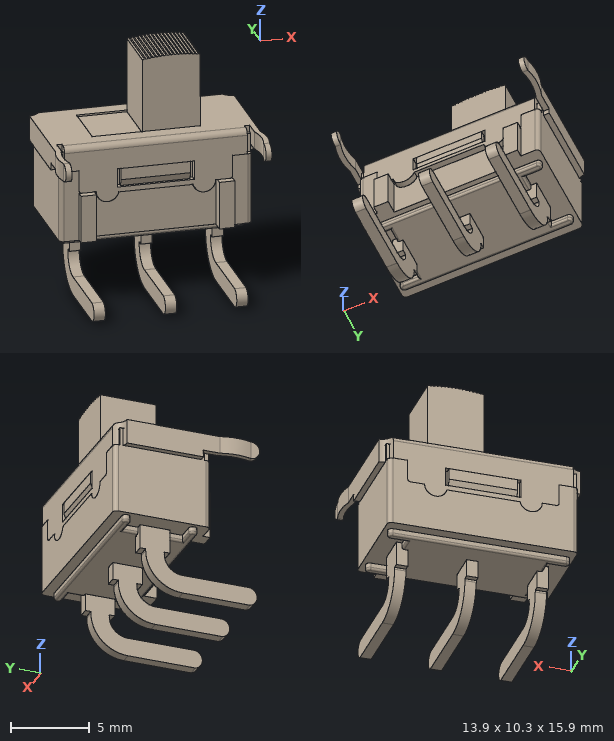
import cadquery as cq
import math


HOUSING_LENGTH = 12.7
HOUSING_WIDTH = 6.6
HOUSING_CORNER_RADIUS = 0.3
SHOULDER_Z = 4.75
RIB_OUTER_X = 5.06
RIB_INNER_X = 4.05
RIB_DEPTH = 0.5
RIB_TOP_Z = 3.2

SHEET = 0.4
ROOF_THICKNESS = 0.45
COVER_TOP_Z = 6.43
COVER_UNDER_Z = COVER_TOP_Z - ROOF_THICKNESS
COVER_LENGTH = HOUSING_LENGTH + 2 * SHEET
FLANGE_END_X = 6.02
NOTCH_DEPTH = 0.65
TAB_CORNER_RADIUS = 0.2
TAB_MIDDLE_Z = 3.04
LOBE_X = 3.18
LOBE_RADIUS = 0.75
WINDOW_LENGTH = 7.12
WINDOW_RIGHT_X = 3.3
WINDOW_LEFT_X = WINDOW_RIGHT_X - WINDOW_LENGTH

LATCH_SLOT_LENGTH = 5.05
LATCH_SLOT_BOTTOM_Z = 3.38
LATCH_SLOT_TOP_Z = 4.63
LATCH_LENGTH = 4.58
LATCH_RAMP_TOP_Z = 3.86
LATCH_RAMP_DEPTH = 0.2

ARM_HEIGHT = 1.2
ARM_TIP_Y = -6.5
ARM_BOW_START_Y = -3.77
ARM_BOW_PEAK_Y = -4.9
ARM_BOW = 0.185
ARM_END_OFFSET = 0.04

KNOB_SIZE = 3.8
KNOB_TOP_Z = 11.53
KNOB_CROWN = 0.16
RIDGE_COUNT = 16
RIDGE_HEIGHT = 0.05
KNOB_FOOT_RECESS = 0.12

BOARD_HEIGHT = 0.46
BOARD_HALF_WIDTH = 2.56
RAIL_LENGTH = 12.14
RAIL_WIDTH = 0.54
BOARD_EDGE_RADIUS = 0.15
PIN_PITCH = 4.7
PLATE_HALF_LENGTH = PIN_PITCH
PIN_THICKNESS = 0.76
PIN_WIDTH = 1.27
PIN_BEND_RADIUS = 1.27
PIN_SHANK_WIDTH = 2.03
PIN_SHANK_BOTTOM_Z = -1.65
PIN_BOTTOM_Z = -4.33
PIN_TIP_Y = -7.01
PIN_TIP_LENGTH = 0.5

HALF_LENGTH = HOUSING_LENGTH / 2
HALF_WIDTH = HOUSING_WIDTH / 2
INNER_HALF_WIDTH = HALF_WIDTH - SHEET


def block(x_range, y_range, z_range):
    """Axis-aligned block given by its limits along each axis."""
    lengths = [high - low for low, high in (x_range, y_range, z_range)]
    corner = (x_range[0], y_range[0], z_range[0])
    return cq.Workplane("XY").box(*lengths, centered=False).translate(corner)


def front_and_rear(front):
    """The given front feature joined with its mirror image at the rear."""
    return front.union(front.mirror("XZ"))


def left_and_right(right):
    """The given +X feature joined with its mirror image at -X."""
    return right.union(right.mirror("YZ"))


def make_tabs():
    """Scalloped tabs hanging from the front and rear flanges."""
    lobe_half_chord = math.sqrt(LOBE_RADIUS**2 - (RIB_TOP_Z - TAB_MIDDLE_Z) ** 2)
    lobe_outer_x = LOBE_X + LOBE_RADIUS
    lobe_inner_x = LOBE_X - lobe_half_chord
    lobe_bottom_z = RIB_TOP_Z - LOBE_RADIUS
    tab = (
        cq.Workplane("XZ", origin=(0, -INNER_HALF_WIDTH, 0))
        .moveTo(-RIB_OUTER_X, SHOULDER_Z)
        .lineTo(-RIB_OUTER_X, RIB_TOP_Z)
        .lineTo(-lobe_outer_x, RIB_TOP_Z)
        .threePointArc((-LOBE_X, lobe_bottom_z), (-lobe_inner_x, TAB_MIDDLE_Z))
        .lineTo(lobe_inner_x, TAB_MIDDLE_Z)
        .threePointArc((LOBE_X, lobe_bottom_z), (lobe_outer_x, RIB_TOP_Z))
        .lineTo(RIB_OUTER_X, RIB_TOP_Z)
        .lineTo(RIB_OUTER_X, SHOULDER_Z)
        .close()
        .extrude(SHEET)
    )
    outer_corners = cq.selectors.BoxSelector(
        (-HALF_LENGTH, -HOUSING_WIDTH, RIB_TOP_Z - TAB_CORNER_RADIUS),
        (HALF_LENGTH, 0, RIB_TOP_Z + TAB_CORNER_RADIUS),
    )
    corner_edges = tab.edges("|Y").edges(outer_corners).edges("<X or >X")
    tab = tab.newObject(corner_edges.vals()).fillet(TAB_CORNER_RADIUS)
    return front_and_rear(tab)


def make_latches():
    """Catches on the housing in the slots of the tabs, flush with them and undercut by a ramp."""
    latch = (
        cq.Workplane("YZ", origin=(-LATCH_LENGTH / 2, 0, 0))
        .moveTo(-INNER_HALF_WIDTH, LATCH_SLOT_BOTTOM_Z)
        .lineTo(-HALF_WIDTH + LATCH_RAMP_DEPTH, LATCH_SLOT_BOTTOM_Z)
        .lineTo(-HALF_WIDTH, LATCH_RAMP_TOP_Z)
        .lineTo(-HALF_WIDTH, LATCH_SLOT_TOP_Z)
        .lineTo(-INNER_HALF_WIDTH, LATCH_SLOT_TOP_Z)
        .close()
        .extrude(LATCH_LENGTH)
    )
    return front_and_rear(latch)


def make_housing():
    lower = block((-HALF_LENGTH, HALF_LENGTH), (-HALF_WIDTH, HALF_WIDTH), (0, SHOULDER_Z))
    lower = lower.edges("|Z").fillet(HOUSING_CORNER_RADIUS)
    front_recess = block(
        (-RIB_INNER_X, RIB_INNER_X),
        (-HALF_WIDTH, -INNER_HALF_WIDTH),
        (0, SHOULDER_Z),
    )
    lower = lower.cut(make_tabs()).cut(front_recess)
    upper = block(
        (-HALF_LENGTH, HALF_LENGTH),
        (-INNER_HALF_WIDTH, INNER_HALF_WIDTH),
        (SHOULDER_Z, COVER_UNDER_Z),
    )
    rib = block((RIB_INNER_X, RIB_OUTER_X), (-HALF_WIDTH - RIB_DEPTH, -HALF_WIDTH), (0, RIB_TOP_Z))
    return lower.union(upper).union(left_and_right(rib)).union(make_latches())


def make_arms():
    """Bowed mounting arms that carry the side flanges forward to rounded tips."""
    root_y = -HALF_WIDTH + NOTCH_DEPTH
    outer_x = COVER_LENGTH / 2
    bow_end_y = ARM_TIP_Y + ARM_HEIGHT / 2
    inner_x = outer_x - SHEET
    arm = (
        cq.Workplane("XY", origin=(0, 0, COVER_TOP_Z - ARM_HEIGHT))
        .moveTo(outer_x, root_y)
        .lineTo(outer_x, ARM_BOW_START_Y)
        .threePointArc((outer_x + ARM_BOW, ARM_BOW_PEAK_Y), (outer_x + ARM_END_OFFSET, bow_end_y))
        .lineTo(outer_x + ARM_END_OFFSET, ARM_TIP_Y)
        .lineTo(inner_x + ARM_END_OFFSET, ARM_TIP_Y)
        .lineTo(inner_x + ARM_END_OFFSET, bow_end_y)
        .threePointArc((inner_x + ARM_BOW, ARM_BOW_PEAK_Y), (inner_x, ARM_BOW_START_Y))
        .lineTo(inner_x, root_y)
        .close()
        .extrude(ARM_HEIGHT)
    )
    side_outline = (
        cq.Workplane("YZ")
        .moveTo(root_y, COVER_TOP_Z)
        .lineTo(bow_end_y, COVER_TOP_Z)
        .threePointArc(
            (ARM_TIP_Y, COVER_TOP_Z - ARM_HEIGHT / 2),
            (bow_end_y, COVER_TOP_Z - ARM_HEIGHT),
        )
        .lineTo(root_y, COVER_TOP_Z - ARM_HEIGHT)
        .close()
        .extrude(COVER_LENGTH)
    )
    return left_and_right(arm.intersect(side_outline))


def make_cover():
    half_length = COVER_LENGTH / 2
    shell = block((-half_length, half_length), (-HALF_WIDTH, HALF_WIDTH), (SHOULDER_Z, COVER_TOP_Z))
    shell = shell.edges("|X and >Z").fillet(SHEET)
    shell = shell.cut(
        block(
            (-HALF_LENGTH, HALF_LENGTH),
            (-INNER_HALF_WIDTH, INNER_HALF_WIDTH),
            (SHOULDER_Z, COVER_UNDER_Z),
        )
    )
    rear_relief = (
        cq.Workplane("XY", origin=(0, 0, SHOULDER_Z))
        .pushPoints([(-half_length, HALF_WIDTH), (half_length, HALF_WIDTH)])
        .circle(half_length - FLANGE_END_X)
        .extrude(COVER_TOP_Z - SHOULDER_Z)
    )
    front_notch = block(
        (FLANGE_END_X, half_length),
        (-HALF_WIDTH, -HALF_WIDTH + NOTCH_DEPTH),
        (SHOULDER_Z, COVER_TOP_Z),
    )
    knob_window = block(
        (WINDOW_LEFT_X, WINDOW_RIGHT_X),
        (-KNOB_SIZE / 2, KNOB_SIZE / 2),
        (COVER_UNDER_Z, COVER_TOP_Z),
    )
    latch_slots = block(
        (-LATCH_SLOT_LENGTH / 2, LATCH_SLOT_LENGTH / 2),
        (-HALF_WIDTH, HALF_WIDTH),
        (LATCH_SLOT_BOTTOM_Z, LATCH_SLOT_TOP_Z),
    )
    shell = shell.cut(rear_relief).cut(left_and_right(front_notch)).cut(knob_window)
    return shell.union(make_tabs().cut(latch_slots)).union(make_arms())


def make_knob():
    """Square knob with a crowned, ridged top and a foot that fills the cover window."""
    left_x = WINDOW_RIGHT_X - KNOB_SIZE
    middle_x = WINDOW_RIGHT_X - KNOB_SIZE / 2
    crown_radius = (KNOB_CROWN**2 + (KNOB_SIZE / 2) ** 2) / (2 * KNOB_CROWN)
    crown_half_angle = math.asin(KNOB_SIZE / 2 / crown_radius)
    crown_centre_z = KNOB_TOP_Z - crown_radius

    def crown_point(step, radius):
        angle = crown_half_angle * (2 * step / RIDGE_COUNT - 1)
        return (middle_x + radius * math.sin(angle), crown_centre_z + radius * math.cos(angle))

    valley_radius = crown_radius - RIDGE_HEIGHT
    outline = cq.Workplane("XZ", origin=(0, KNOB_SIZE / 2, 0)).moveTo(left_x, COVER_UNDER_Z)
    outline = outline.lineTo(left_x, crown_point(0, valley_radius)[1])
    for ridge in range(RIDGE_COUNT):
        outline = outline.lineTo(*crown_point(ridge + 0.5, crown_radius))
        if ridge < RIDGE_COUNT - 1:
            outline = outline.lineTo(*crown_point(ridge + 1, valley_radius))
    outline = outline.lineTo(WINDOW_RIGHT_X, crown_point(RIDGE_COUNT, valley_radius)[1])
    stem = outline.lineTo(WINDOW_RIGHT_X, COVER_UNDER_Z).close().extrude(KNOB_SIZE)
    foot = block(
        (WINDOW_LEFT_X, WINDOW_RIGHT_X),
        (-KNOB_SIZE / 2, KNOB_SIZE / 2),
        (COVER_UNDER_Z, COVER_TOP_Z - KNOB_FOOT_RECESS),
    )
    return stem.union(foot)


def make_pin(x):
    """Flat pin: wide shank below the board, then a quarter bend towards -Y."""
    half_width = PIN_WIDTH / 2
    arm_top_z = PIN_BOTTOM_Z + PIN_WIDTH
    bend_y = -half_width - PIN_BEND_RADIUS
    bend_z = arm_top_z + PIN_BEND_RADIUS
    outer_radius = PIN_BEND_RADIUS + PIN_WIDTH
    tip_start_y = PIN_TIP_Y + PIN_TIP_LENGTH
    diagonal = math.sqrt(0.5)
    leg = (
        cq.Workplane("YZ", origin=(x - PIN_THICKNESS / 2, 0, 0))
        .moveTo(half_width, PIN_SHANK_BOTTOM_Z)
        .lineTo(half_width, bend_z)
        .threePointArc(
            (bend_y + outer_radius * diagonal, bend_z - outer_radius * diagonal),
            (bend_y, PIN_BOTTOM_Z),
        )
        .lineTo(tip_start_y, PIN_BOTTOM_Z)
        .threePointArc((PIN_TIP_Y, PIN_BOTTOM_Z + half_width), (tip_start_y, arm_top_z))
        .lineTo(bend_y, arm_top_z)
        .threePointArc(
            (bend_y + PIN_BEND_RADIUS * diagonal, bend_z - PIN_BEND_RADIUS * diagonal),
            (-half_width, bend_z),
        )
        .lineTo(-half_width, PIN_SHANK_BOTTOM_Z)
        .close()
        .extrude(PIN_THICKNESS)
    )
    shank = block(
        (x - PIN_THICKNESS / 2, x + PIN_THICKNESS / 2),
        (-PIN_SHANK_WIDTH / 2, PIN_SHANK_WIDTH / 2),
        (PIN_SHANK_BOTTOM_Z, 0),
    )
    return leg.union(shank)


def make_terminal_board():
    """Board under the housing: a plate between two round-ended rails, with three pins."""
    rail_y = BOARD_HALF_WIDTH - RAIL_WIDTH / 2
    rails = (
        cq.Workplane("XY", origin=(0, 0, -BOARD_HEIGHT))
        .pushPoints([(0, -rail_y), (0, rail_y)])
        .slot2D(RAIL_LENGTH, RAIL_WIDTH)
        .extrude(BOARD_HEIGHT)
    )
    plate = block(
        (-PLATE_HALF_LENGTH, PLATE_HALF_LENGTH),
        (-rail_y, rail_y),
        (-BOARD_HEIGHT, 0),
    )
    board = rails.union(plate).faces("<Z").edges().fillet(BOARD_EDGE_RADIUS)
    for pin_index in (-1, 0, 1):
        board = board.union(make_pin(pin_index * PIN_PITCH))
    return board


housing = make_housing()
cover = make_cover()
knob = make_knob()
terminal_board = make_terminal_board()

bodies = (housing, cover, knob, terminal_board)
result = cq.Compound.makeCompound([body.solids().val() for body in bodies])